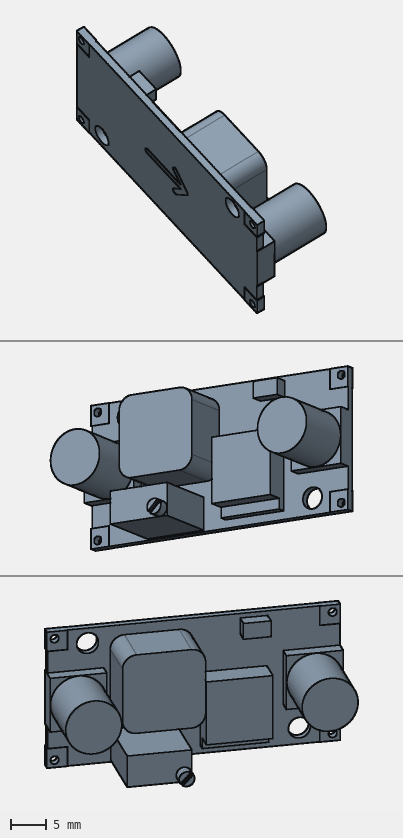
import cadquery as cq
import math


overall_length = 43.0
half_length = overall_length / 2

board_height = 21.1
board_front = 0.05
board_back = 1.2
pad_overhang = 0.15
board_right = half_length - pad_overhang

pad_size = 3.0
pad_thickness = 1.3
pad_hole_diameter = 1.2
pad_hole_x = 20.4
pad_hole_z = 9.4

mount_hole_diameter = 3.2
mount_hole_centres = [(-15.52, -8.05), (15.52, 8.2)]

cap_base_size = 8.35
cap_base_top = 3.15
cap_can_diameter = 8.2
cap_can_top = 12.4
cap_centre_x = half_length - cap_base_size / 2

regulator_left = -10.75
regulator_size = 9.75
regulator_bottom = -7.7
regulator_top = 4.9
tab_reach = 1.6
tab_top = 2.45

diode_left = -10.9
diode_width = 4.05
diode_bottom = 7.4
diode_height = 2.45
diode_top = 3.22

inductor_left = 0.05
inductor_size = 12.15
inductor_upper_edge = 9.0
inductor_corner_radius = 2.05
inductor_top = 8.7

trimmer_left = 2.65
trimmer_width = 9.45
trimmer_bottom = -10.3
trimmer_height = 4.85
trimmer_top = 11.2
screw_diameter = 2.3
screw_top = 12.9
screw_slot_width = 0.5
screw_slot_depth = 0.55
screw_slot_angle = 45.0

arrow_stroke = 1.0
arrow_tail_x = -4.65
arrow_tip_x = 4.47
arrow_barb_reach = 2.55


def block(left, bottom, width, height, y_start, y_end):
    """Box given by its lower left corner in XZ and its Y range."""
    corner = (left, y_start, bottom)
    return cq.Workplane("XY").box(width, y_end - y_start, height, centered=False).translate(corner)


def rod(x, z, diameter, y_start, y_end):
    """Cylinder along Y."""
    return cq.Workplane("XZ", origin=(x, y_start, z)).circle(diameter / 2).extrude(y_start - y_end)


def component(left, bottom, width, height, top):
    """Box standing on the component side of the board."""
    return block(left, bottom, width, height, board_front, top)


def bare_board():
    width = half_length + board_right
    return block(-half_length, -board_height / 2, width, board_height, board_front, board_back)


def corner_pads():
    pads = cq.Workplane("XY")
    for left in (-half_length, half_length - pad_size):
        for bottom in (-board_height / 2, board_height / 2 - pad_size):
            pads = pads.add(block(left, bottom, pad_size, pad_size, 0, pad_thickness))
    return pads.combine()


def capacitor(x):
    half_base = cap_base_size / 2
    base = component(x - half_base, -half_base, cap_base_size, cap_base_size, cap_base_top)
    return base.union(rod(x, 0, cap_can_diameter, board_front, cap_can_top))


def regulator():
    body = component(regulator_left, regulator_bottom, regulator_size, regulator_size, regulator_top)
    tab_bottom = regulator_bottom - tab_reach
    return body.union(component(regulator_left, tab_bottom, regulator_size, tab_reach, tab_top))


def inductor():
    bottom = inductor_upper_edge - inductor_size
    body = component(inductor_left, bottom, inductor_size, inductor_size, inductor_top)
    return body.edges("|Y").fillet(inductor_corner_radius)


def trimmer():
    screw_x = trimmer_left + screw_diameter / 2
    screw_z = trimmer_bottom + screw_diameter / 2
    slot = (
        cq.Workplane("XY")
        .box(2 * screw_diameter, 2 * screw_slot_depth, screw_slot_width)
        .rotate((0, 0, 0), (0, 1, 0), screw_slot_angle)
        .translate((screw_x, screw_top, screw_z))
    )
    screw = rod(screw_x, screw_z, screw_diameter, board_front, screw_top).cut(slot)
    body = component(trimmer_left, trimmer_bottom, trimmer_width, trimmer_height, trimmer_top)
    return body.union(screw)


def arrow_line(start, end):
    """Round-ended stroke between two XZ points."""
    run = end[0] - start[0]
    rise = end[1] - start[1]
    return (
        cq.Workplane("XZ", origin=((start[0] + end[0]) / 2, board_back, (start[1] + end[1]) / 2))
        .slot2D(math.hypot(run, rise) + arrow_stroke, arrow_stroke, math.degrees(math.atan2(rise, run)))
        .extrude(board_back)
    )


def arrow():
    tip = (arrow_tip_x, 0)
    strokes = arrow_line((arrow_tail_x, 0), tip)
    for side in (-1, 1):
        barb_end = (arrow_tip_x - arrow_barb_reach, side * arrow_barb_reach)
        strokes = strokes.union(arrow_line(barb_end, tip))
    return strokes


result = bare_board().union(corner_pads())
for side in (-1, 1):
    result = result.union(capacitor(side * cap_centre_x))
result = result.union(regulator())
result = result.union(component(diode_left, diode_bottom, diode_width, diode_height, diode_top))
result = result.union(inductor())
result = result.union(trimmer())
result = result.union(arrow())

for x, z in mount_hole_centres:
    result = result.cut(rod(x, z, mount_hole_diameter, 0, board_back))
for side in (-1, 1):
    for level in (-1, 1):
        result = result.cut(rod(side * pad_hole_x, level * pad_hole_z, pad_hole_diameter, 0, pad_thickness))